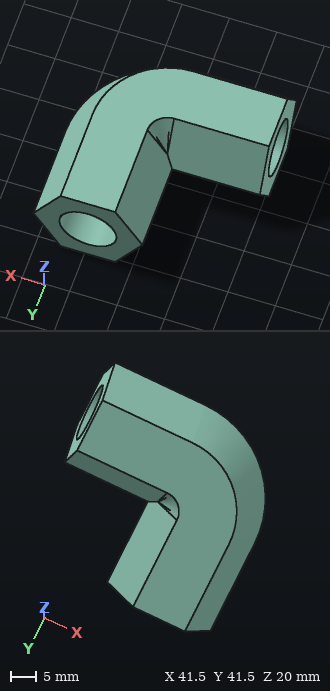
import cadquery as cq
import math

overall_length = 41.55
across_flats = 20.0
bore_diameter = 12.0
bend_angle = 90

half_flats = across_flats / 2
corner_radius = across_flats / math.sqrt(3)
bend_radius = half_flats
leg_length = overall_length - bend_radius - corner_radius


def hexagon(plane):
    """Hexagon with flats at top and bottom, centred on the plane origin."""
    return cq.Workplane(plane).polygon(6, 2 * corner_radius)


def circle(plane):
    """Bore section centred on the plane origin."""
    return cq.Workplane(plane).circle(bore_diameter / 2)


def legs(section):
    """Two straight legs that run away from the ends of the bend."""
    x_leg_start = cq.Plane(origin=(0, -bend_radius, 0), xDir=(0, 1, 0), normal=(-1, 0, 0))
    y_leg_start = cq.Plane(origin=(bend_radius, 0, 0), xDir=(1, 0, 0), normal=(0, 1, 0))
    x_leg = section(x_leg_start).extrude(leg_length)
    y_leg = section(y_leg_start).extrude(leg_length)
    return x_leg.union(y_leg)


def body_bend():
    """Quarter turn from +X to -Y; the inner hexagon corner is cut off at the bend axis."""
    axis_half_height = (corner_radius - bend_radius) * math.sqrt(3)
    inner_x = bend_radius - corner_radius / 2
    outer_x = bend_radius + corner_radius / 2
    section = cq.Workplane("XZ").polyline([
        (0, -axis_half_height),
        (inner_x, -half_flats),
        (outer_x, -half_flats),
        (bend_radius + corner_radius, 0),
        (outer_x, half_flats),
        (inner_x, half_flats),
        (0, axis_half_height),
    ]).close()
    return section.revolve(bend_angle, (0, 0), (0, -1))


def bore_bend():
    """Round passage that joins the two straight bores."""
    section = cq.Workplane("XZ").center(bend_radius, 0).circle(bore_diameter / 2)
    return section.revolve(bend_angle, (-bend_radius, 0), (-bend_radius, -1))


body = legs(hexagon).union(body_bend())
bore = legs(circle).union(bore_bend())
result = body.cut(bore)